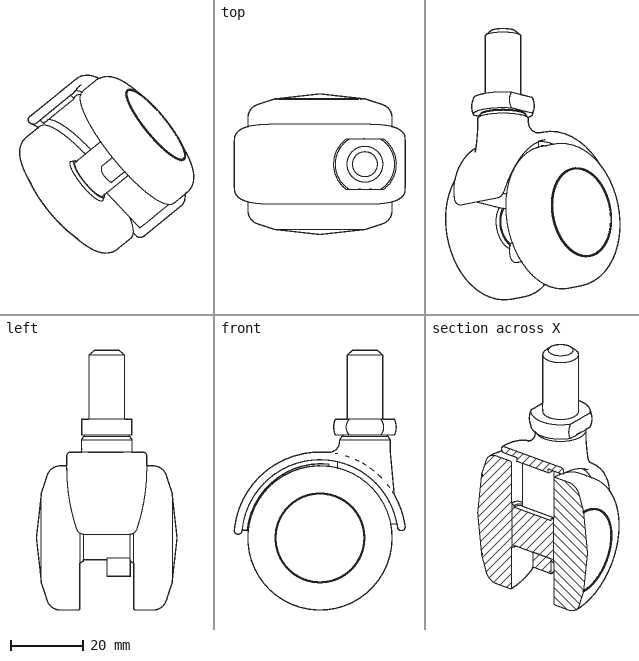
import cadquery as cq
import math


WHEEL_RADIUS = 20.0
WHEEL_INNER_Y = 7.4
INNER_RIM_FILLET = 0.6
TREAD_OUTER_Y = 12.8
SHOULDER_RADIUS = 17.3
SHOULDER_Y = 16.55
CAP_RADIUS = 12.2
CAP_EDGE_Y = 18.15
CAP_APEX_Y = 19.5
CAP_GROOVE = 0.3

FENDER_RADIUS = 23.8
FENDER_INNER_RADIUS = 21.7
FENDER_HALF_WIDTH = 11.1
TAPER_START_Z = 19.45
TAPER_RADIUS = 54.0
REAR_END_Z = 1.0
FRONT_END_Z = 2.0
FENDER_CORNER_RADIUS = 2.15
FENDER_EDGE_FILLET = 1.0
OVERLAP = 0.7

RIB_INNER_RADIUS = 20.5
RIB_INNER_X = 0.3
RIB_HALF_WIDTH = 5.6
WEB_HALF_WIDTH = 6.5
RIB_REAR_Z = 2.1
WEB_FRONT_Z = 3.8
WEB_LEFT_X = 2.45
WEB_STEP_X = 4.9

BARREL_RADIUS = 6.05
BARREL_HALF_WIDTH = WEB_HALF_WIDTH
FLARE_START_RADIUS = 6.5
FLARE_END_RADIUS = 7.0

TAB_WIDTH = 6.55
TAB_HALF_THICKNESS = 2.2
TAB_BOTTOM_Z = -10.65

STEM_X = 12.45
STEM_TOP_Z = 72 - WHEEL_RADIUS
STEM_RADIUS = 5.0
STEM_TIP_RADIUS = 3.45
STEM_TIP_HEIGHT = 1.4
COLLAR_TOP_Z = 32.9
COLLAR_BOTTOM_Z = 28.45
COLLAR_RADIUS = 8.7
COLLAR_FACE_RADIUS = 8.2
COLLAR_HALF_FLATS = 7.0
NECK_RADIUS = 6.2
SOCKET_RADIUS = 7.05
SOCKET_TOP_Z = 28.15
SOCKET_CHAMFER_RADIUS = 0.65
SOCKET_CHAMFER_HEIGHT = 1.0
SOCKET_DRAFT_Z = 23.8
SOCKET_DRAFT_ANGLE = 5.3
SOCKET_BASE_Z = 10.8
SOCKET_FILLET = 2.9
SOCKET_REACH = SOCKET_RADIUS + SOCKET_FILLET
STEM_BOTTOM_Z = 18.0


def revolve_about_y(profile):
    """Revolve an XY profile about the wheel axis."""
    return profile.close().revolve(360, (0, 0, 0), (0, 1, 0))


def revolve_about_stem(profile):
    """Revolve an XZ profile, with X measured from the stem axis, and place it on that axis."""
    return profile.close().revolve(360, (0, 0, 0), (0, 1, 0)).translate((STEM_X, 0, 0))


def make_wheel(side):
    """One wheel on the +Y (side = 1) or -Y (side = -1) side."""
    drop = WHEEL_RADIUS - SHOULDER_RADIUS
    run = SHOULDER_Y - TREAD_OUTER_Y
    arc_radius = (drop**2 + run**2) / (2 * drop)
    half_angle = math.asin(run / arc_radius) / 2
    shoulder_middle = (
        WHEEL_RADIUS - arc_radius * (1 - math.cos(half_angle)),
        TREAD_OUTER_Y + arc_radius * math.sin(half_angle),
    )
    profile = (
        cq.Workplane("XY")
        .moveTo(0, WHEEL_INNER_Y)
        .lineTo(WHEEL_RADIUS, WHEEL_INNER_Y)
        .lineTo(WHEEL_RADIUS, TREAD_OUTER_Y)
        .threePointArc(shoulder_middle, (SHOULDER_RADIUS, SHOULDER_Y))
        .lineTo(CAP_RADIUS + CAP_GROOVE, CAP_EDGE_Y)
        .lineTo(CAP_RADIUS + CAP_GROOVE, CAP_EDGE_Y - CAP_GROOVE)
        .lineTo(CAP_RADIUS, CAP_EDGE_Y - CAP_GROOVE)
        .lineTo(CAP_RADIUS, CAP_EDGE_Y)
        .lineTo(0, CAP_APEX_Y)
    )
    wheel = revolve_about_y(profile).faces("<Y").edges().fillet(INNER_RIM_FILLET)
    return wheel if side > 0 else wheel.mirror("XZ")


def fender_outline(end_z):
    """Side outline of one half of the fender, as a solid that runs through along X."""

    def half_width(z):
        below = TAPER_START_Z - z
        return FENDER_HALF_WIDTH - TAPER_RADIUS + math.sqrt(TAPER_RADIUS**2 - below**2)

    middle_z = (TAPER_START_Z + end_z) / 2
    top_z = FENDER_RADIUS + OVERLAP
    return (
        cq.Workplane("YZ")
        .moveTo(-FENDER_HALF_WIDTH, top_z)
        .lineTo(-FENDER_HALF_WIDTH, TAPER_START_Z)
        .threePointArc((-half_width(middle_z), middle_z), (-half_width(end_z), end_z))
        .lineTo(half_width(end_z), end_z)
        .threePointArc((half_width(middle_z), middle_z), (FENDER_HALF_WIDTH, TAPER_START_Z))
        .lineTo(FENDER_HALF_WIDTH, top_z)
        .close()
        .extrude(FENDER_RADIUS + OVERLAP)
        .edges("|X and <Z")
        .fillet(FENDER_CORNER_RADIUS)
    )


def make_fender():
    """Arched shell whose sides taper towards both ends, with rounded edges."""
    ring = (
        cq.Workplane("XZ")
        .circle(FENDER_RADIUS)
        .circle(FENDER_INNER_RADIUS)
        .extrude(FENDER_HALF_WIDTH + OVERLAP, both=True)
    )
    front = fender_outline(FRONT_END_Z)
    rear = fender_outline(REAR_END_Z).mirror("YZ")
    shell = ring.intersect(front.union(rear))
    return shell.edges().fillet(FENDER_EDGE_FILLET)


def plate_space(start_x, bottom_z, half_width):
    """Block under the +X half of the fender, from start_x and bottom_z to the fender's middle radius."""
    size = (FENDER_RADIUS + FENDER_INNER_RADIUS) / 2
    return (
        cq.Workplane("XY")
        .box(size, 2 * half_width, size, centered=(False, True, False))
        .translate((start_x, 0, bottom_z))
    )


def make_web():
    """Flat rib along the underside of the fender and the stepped web that carries the barrel."""
    middle_radius = (FENDER_RADIUS + FENDER_INNER_RADIUS) / 2
    disc = cq.Workplane("XZ").circle(middle_radius).extrude(WEB_HALF_WIDTH, both=True)
    bore = (
        cq.Workplane("XZ")
        .center(RIB_INNER_X, 0)
        .circle(RIB_INNER_RADIUS)
        .extrude(WEB_HALF_WIDTH, both=True)
    )
    rear_space = plate_space(0, RIB_REAR_Z, RIB_HALF_WIDTH).mirror("YZ")
    front_space = plate_space(0, WEB_FRONT_Z, RIB_HALF_WIDTH)
    rib = disc.cut(bore).intersect(rear_space.union(front_space))
    thin_web = disc.intersect(plate_space(WEB_LEFT_X, WEB_FRONT_Z, RIB_HALF_WIDTH))
    thick_web = disc.intersect(plate_space(WEB_STEP_X, WEB_FRONT_Z, WEB_HALF_WIDTH))
    return rib.union(thin_web).union(thick_web)


def make_barrel():
    """Hub barrel on the wheel axis, flared where it meets the wheels."""
    profile = (
        cq.Workplane("XY")
        .moveTo(0, -WHEEL_INNER_Y)
        .lineTo(FLARE_END_RADIUS, -WHEEL_INNER_Y)
        .lineTo(FLARE_START_RADIUS, -BARREL_HALF_WIDTH)
        .lineTo(BARREL_RADIUS, -BARREL_HALF_WIDTH)
        .lineTo(BARREL_RADIUS, BARREL_HALF_WIDTH)
        .lineTo(FLARE_START_RADIUS, BARREL_HALF_WIDTH)
        .lineTo(FLARE_END_RADIUS, WHEEL_INNER_Y)
        .lineTo(0, WHEEL_INNER_Y)
    )
    return revolve_about_y(profile)


def make_socket():
    """Upright socket for the stem, trimmed to the fender's outside."""
    draft_height = SOCKET_DRAFT_Z - SOCKET_BASE_Z
    base_radius = SOCKET_RADIUS + draft_height * math.tan(math.radians(SOCKET_DRAFT_ANGLE))
    profile = (
        cq.Workplane("XZ")
        .moveTo(0, SOCKET_BASE_Z)
        .lineTo(base_radius, SOCKET_BASE_Z)
        .lineTo(SOCKET_RADIUS, SOCKET_DRAFT_Z)
        .lineTo(SOCKET_RADIUS, SOCKET_TOP_Z - SOCKET_CHAMFER_HEIGHT)
        .lineTo(SOCKET_RADIUS - SOCKET_CHAMFER_RADIUS, SOCKET_TOP_Z)
        .lineTo(0, SOCKET_TOP_Z)
    )
    inside = cq.Workplane("XZ").circle(FENDER_INNER_RADIUS).extrude(FENDER_RADIUS, both=True)
    return revolve_about_stem(profile).cut(inside)


def make_housing():
    """Fender with the socket blended onto it, plus the web and barrel inside."""
    fender = make_fender().union(make_socket())
    around_socket = cq.selectors.BoxSelector(
        (STEM_X - SOCKET_REACH, -SOCKET_REACH, SOCKET_BASE_Z),
        (STEM_X + SOCKET_REACH, SOCKET_REACH, SOCKET_DRAFT_Z - SOCKET_FILLET),
    )
    fender = fender.edges(around_socket).edges("%BSPLINE").fillet(SOCKET_FILLET)
    return fender.union(make_web()).union(make_barrel())


def make_stem():
    """Pin, neck, collar with two flats, and shaft with a conical tip."""
    collar_middle_z = (COLLAR_BOTTOM_Z + COLLAR_TOP_Z) / 2
    profile = (
        cq.Workplane("XZ")
        .moveTo(0, STEM_BOTTOM_Z)
        .lineTo(STEM_RADIUS, STEM_BOTTOM_Z)
        .lineTo(STEM_RADIUS, SOCKET_TOP_Z)
        .lineTo(NECK_RADIUS, SOCKET_TOP_Z)
        .lineTo(NECK_RADIUS, COLLAR_BOTTOM_Z)
        .lineTo(COLLAR_FACE_RADIUS, COLLAR_BOTTOM_Z)
        .threePointArc((COLLAR_RADIUS, collar_middle_z), (COLLAR_FACE_RADIUS, COLLAR_TOP_Z))
        .lineTo(STEM_RADIUS, COLLAR_TOP_Z)
        .lineTo(STEM_RADIUS, STEM_TOP_Z - STEM_TIP_HEIGHT)
        .lineTo(STEM_TIP_RADIUS, STEM_TOP_Z)
        .lineTo(0, STEM_TOP_Z)
    )
    between_flats = cq.Workplane("XY").box(
        2 * COLLAR_RADIUS, 2 * COLLAR_HALF_FLATS, 2 * STEM_TOP_Z
    ).translate((STEM_X, 0, 0))
    return revolve_about_stem(profile).intersect(between_flats)


def make_stop_tab():
    """Upright tab with a round lower edge, resting against the underside of the barrel."""
    round_z = TAB_BOTTOM_Z + TAB_HALF_THICKNESS
    return (
        cq.Workplane("XZ")
        .moveTo(-TAB_HALF_THICKNESS, 0)
        .lineTo(-TAB_HALF_THICKNESS, round_z)
        .threePointArc((0, TAB_BOTTOM_Z), (TAB_HALF_THICKNESS, round_z))
        .lineTo(TAB_HALF_THICKNESS, 0)
        .close()
        .extrude(TAB_WIDTH)
    )


stem = make_stem()
housing = make_housing().cut(stem)
stop_tab = make_stop_tab().cut(make_barrel())
wheels = [make_wheel(side) for side in (-1, 1)]

result = cq.Compound.makeCompound(
    [housing.val(), stem.val(), stop_tab.val(), *[wheel.val() for wheel in wheels]]
)